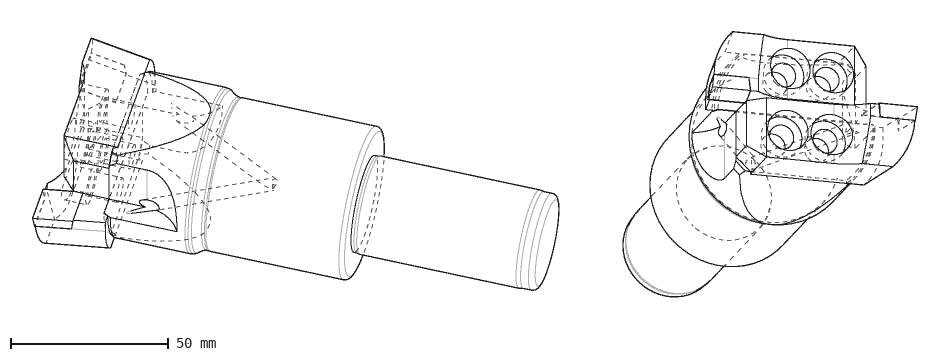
import cadquery as cq
import math

HALF_TURNS = (0, 180)

total_length = 160.0
seat_x = 21.3
seat_chamfer_length = 2.4
seat_chamfer_depth = 1.3
head_radius = 54.0 / 2
head_end_x = 48.3
rim_bevel_x = 49.3
rim_bevel_radius = 26.9
rim_round_x = 50.2
rim_round_radius = 26.4
neck_radius = 49.8 / 2
neck_start_x = 53.1
neck_end_x = 54.0
collar_radius = 50.0 / 2
collar_start_x = 54.5
collar_end_x = 99.8
collar_round = 1.5
shank_radius = 32.0 / 2
shank_relief_radius = 31.5 / 2
shank_neck_end_x = 100.8
shank_start_x = 101.8
shank_end_x = 154.2
shank_tail_x = 155.7
tail_round = 1.8

flat_angle = 15.0
side_wall_y = 19.8
pocket_round_x = 33.8
pocket_round_radius = 13.5
coolant_diameter = 4.0
coolant_start_x = 69.6
coolant_side_angle = 30.0
coolant_lift_angle = 2.4
coolant_length = 64.0

cartridge_height = 20.0
cartridge_rear_x = 22.7
parting_gap = 0.2
recess_x = 5.0
land_x = 0.6
land_height = 4.5
relief_angle = 6.5
side_angle = 10.0
side_land_y = 33.3
side_round_radius = 22.4
corner_width = 5.3
corner_length = 4.6
corner_drop = 4.8
recess_round_start_y = 7.7
recess_round_radius = 16.0
screw_spacing = 14.4
screw_middle_y = -0.3
screw_z = 10.4
screw_hole_diameter = 8.0
screw_head_diameter = 13.5
screw_head_depth = 6.9

insert_length = 12.6
insert_tip_y = 68.0 / 2
insert_width = 12.6

relief_slope = math.tan(math.radians(relief_angle))
side_slope = math.tan(math.radians(side_angle))
margin = 16.0


def turned_blank():
    profile = (
        cq.Workplane("XY")
        .moveTo(seat_x, 0)
        .lineTo(seat_x, head_radius - seat_chamfer_depth)
        .lineTo(seat_x + seat_chamfer_length, head_radius)
        .lineTo(head_end_x, head_radius)
        .lineTo(rim_bevel_x, rim_bevel_radius)
        .tangentArcPoint((rim_round_x, rim_round_radius), relative=False)
        .tangentArcPoint((neck_start_x, neck_radius), relative=False)
        .lineTo(neck_end_x, neck_radius)
        .lineTo(collar_start_x, collar_radius)
        .lineTo(collar_end_x - collar_round, collar_radius)
        .radiusArc((collar_end_x, collar_radius - collar_round), collar_round)
        .lineTo(collar_end_x, shank_relief_radius)
        .lineTo(shank_neck_end_x, shank_relief_radius)
        .lineTo(shank_start_x, shank_radius)
        .lineTo(shank_end_x, shank_radius)
        .lineTo(shank_tail_x, shank_relief_radius)
        .lineTo(total_length - tail_round, shank_relief_radius)
        .radiusArc((total_length, shank_relief_radius - tail_round), tail_round)
        .lineTo(total_length, 0)
        .close()
    )
    return profile.revolve(360, (0, 0, 0), (1, 0, 0))


def flat_cutter():
    """Wedge above the sloped flat, which starts level with the cartridge top."""
    length = 2 * head_radius
    return (
        cq.Workplane("XY")
        .box(2 * length, 2 * length, margin, centered=(True, True, False))
        .rotate((0, 0, 0), (0, 1, 0), -flat_angle)
        .translate((cartridge_rear_x, 0, cartridge_height))
    )


def pocket_cutter():
    """Chip pocket beside the cartridge, with a floor on the axis plane."""
    outer_y = -side_wall_y - pocket_round_radius
    return (
        cq.Workplane("XY")
        .moveTo(0, -side_wall_y)
        .lineTo(pocket_round_x, -side_wall_y)
        .radiusArc((pocket_round_x + pocket_round_radius, outer_y), pocket_round_radius)
        .lineTo(0, outer_y)
        .close()
        .extrude(head_radius)
    )


def coolant_cutter():
    """Hole from the axis out through the pocket wall, grooving the pocket floor."""
    return (
        cq.Workplane("YZ")
        .circle(coolant_diameter / 2)
        .extrude(-coolant_length)
        .rotate((0, 0, 0), (0, 1, 0), coolant_lift_angle)
        .rotate((0, 0, 0), (0, 0, 1), coolant_side_angle)
        .translate((coolant_start_x, 0, 0))
    )


def make_body():
    body = turned_blank()
    for turn in HALF_TURNS:
        for cutter in (flat_cutter(), pocket_cutter(), coolant_cutter()):
            body = body.cut(cutter.rotate((0, 0, 0), (1, 0, 0), turn))
    return body.solids()


def cartridge_plate():
    """Outline in XY: beveled inner corner, recessed front and forward tip."""
    round_run = math.sqrt(
        recess_round_radius**2 - (recess_round_radius - recess_x + land_x) ** 2
    )
    return (
        cq.Workplane("XY")
        .workplane(offset=parting_gap)
        .moveTo(cartridge_rear_x, -side_wall_y)
        .lineTo(recess_x + corner_length, -side_wall_y)
        .lineTo(recess_x, corner_width - side_wall_y)
        .lineTo(recess_x, recess_round_start_y)
        .radiusArc((land_x, recess_round_start_y + round_run), -recess_round_radius)
        .lineTo(land_x, insert_tip_y)
        .lineTo(cartridge_rear_x, insert_tip_y)
        .close()
        .extrude(cartridge_height - parting_gap)
    )


def front_relief_envelope():
    """The front leans back above the land."""
    top_x = land_x + (cartridge_height - land_height) * relief_slope
    outline = [
        (land_x, 0),
        (land_x, land_height),
        (top_x, cartridge_height),
        (cartridge_rear_x, cartridge_height),
        (cartridge_rear_x, 0),
    ]
    return cq.Workplane("XZ").polyline(outline).close().extrude(insert_tip_y + margin, both=True)


def side_envelope():
    """The slanted outer side is an upright land with a round above it."""
    rise = cartridge_height - land_height
    round_top_y = side_land_y - side_round_radius + math.sqrt(side_round_radius**2 - rise**2)
    outer = (
        cq.Workplane("YZ")
        .workplane(offset=-margin)
        .moveTo(-2 * insert_tip_y, 0)
        .lineTo(side_land_y, 0)
        .lineTo(side_land_y, land_height)
        .radiusArc((round_top_y, cartridge_height), -side_round_radius)
        .lineTo(-2 * insert_tip_y, cartridge_height)
        .close()
        .extrude(cartridge_rear_x + 2 * margin)
    )
    return outer.rotate((land_x, side_land_y, 0), (land_x, side_land_y, 1), -side_angle)


def top_corner_cutter():
    return (
        cq.Workplane("YZ")
        .moveTo(-side_wall_y, cartridge_height)
        .lineTo(-side_wall_y, cartridge_height - corner_drop)
        .lineTo(corner_width - side_wall_y, cartridge_height)
        .close()
        .extrude(cartridge_rear_x)
    )


def screw_hole_cutter():
    """Through holes with counterbores sunk from the recessed front."""
    centers = [(screw_middle_y + side * screw_spacing / 2, screw_z) for side in (-1, 1)]
    holes = cq.Workplane("YZ").pushPoints(centers).circle(screw_hole_diameter / 2).extrude(cartridge_rear_x)
    heads = (
        cq.Workplane("YZ")
        .pushPoints(centers)
        .circle(screw_head_diameter / 2)
        .extrude(recess_x + screw_head_depth)
    )
    return holes.union(heads)


def cutting_insert():
    """Slanted plate at the tip, relieved on all sides below its edges."""
    side_drop = insert_length * side_slope
    outline = [
        (0, insert_tip_y),
        (insert_length, insert_tip_y - side_drop),
        (insert_length, insert_tip_y - insert_width - side_drop),
        (0, insert_tip_y - insert_width),
    ]
    return cq.Workplane("XY").polyline(outline).close().extrude(land_height, taper=relief_angle)


def make_cartridge(body, turn):
    """The rear lip of the cartridge follows the chamfered edge of the body's seat."""
    cartridge = (
        cartridge_plate()
        .intersect(front_relief_envelope())
        .intersect(side_envelope())
        .cut(top_corner_cutter())
        .union(cutting_insert())
        .cut(screw_hole_cutter())
    )
    return cartridge.rotate((0, 0, 0), (1, 0, 0), turn).cut(body).solids().val()


body = make_body()
cartridges = [make_cartridge(body, turn) for turn in HALF_TURNS]

result = cq.Compound.makeCompound([body.val(), *cartridges])